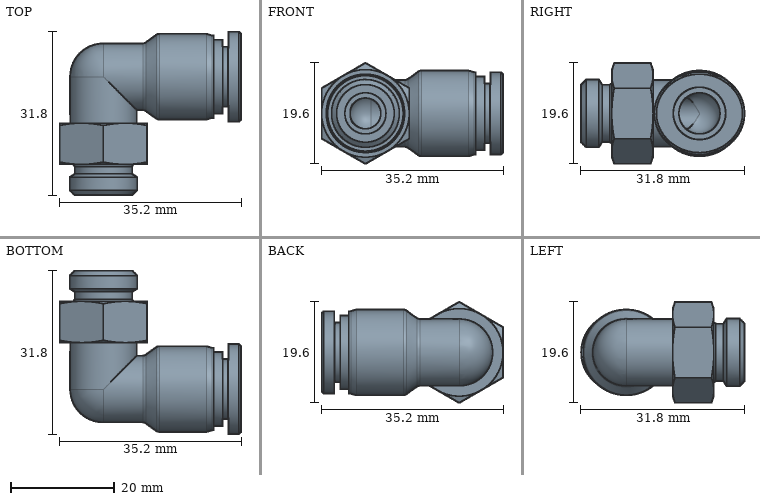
import cadquery as cq
import math


OVERALL_LENGTH = 35.2
OVERALL_WIDTH = 31.75

HEX_FLATS = 17.0
HEX_HEIGHT = 8.0
HEX_TOP = -9.0
HEX_BOTTOM = HEX_TOP - HEX_HEIGHT
HEX_CORNER_DROP = 0.45

RECESS_DIAMETER = 15.25
RECESS_FLOOR_DIAMETER = 14.65
RECESS_DEPTH = 1.0

COLLAR_WIDTH = 17.53
COLLAR_HEIGHT = 16.05
COLLAR_THICKNESS = 2.45
COLLAR_CHAMFER = 0.42
COLLAR_NECK_DIAMETER = 11.2
COLLAR_BORE = 10.15
COLLAR_END = OVERALL_LENGTH - HEX_FLATS / 2
COLLAR_START = COLLAR_END - COLLAR_THICKNESS

THREAD_DIAMETER = 13.15
THREAD_ROOT_DIAMETER = 11.2
THREAD_TIP = COLLAR_WIDTH / 2 - OVERALL_WIDTH
THREAD_CHAMFER = (THREAD_DIAMETER - THREAD_ROOT_DIAMETER) / 2
THREAD_LENGTH = 3.5
THREAD_RUNOUT = 0.65
NECK_FLARE_OFFSET = 0.42
NECK_FLARE_DIAMETER = 12.78
STUD_BORE = 8.0

ELBOW_DIAMETER = 13.0
BODY_DIAMETER = 16.7
RIM_DIAMETER = 16.05
GUIDE_DIAMETER = 14.4
SLEEVE_DIAMETER = 11.7
CONE_START = 7.95
BODY_START = 10.52
BODY_END = 20.0
RIM_START = 21.05
RIM_END = 21.45
GUIDE_END = 23.13
SLEEVE_GAP = 0.1
SLEEVE_END = COLLAR_START - SLEEVE_GAP
CONE_FILLET = 1.0
STUD_SIDE_BORE = 6
TUBE_SIDE_BORE = 8.0
TUBE_SOCKET = 10.2


def turned_about_x(profile):
    """Solid of revolution about X from (x, radius) points."""
    return cq.Workplane("XY").polyline(profile).close().revolve(360, (0, 0, 0), (1, 0, 0))


def turned_about_y(profile):
    """Solid of revolution about Y from (radius, y) points."""
    return cq.Workplane("XY").polyline(profile).close().revolve(360, (0, 0, 0), (0, 1, 0))


def rod_x(diameter, start, end):
    return cq.Workplane("YZ").workplane(offset=start).circle(diameter / 2).extrude(end - start)


def rod_y(diameter, start, end):
    return cq.Workplane("XZ").workplane(offset=-end).circle(diameter / 2).extrude(end - start)


def make_hexagon():
    """Hexagon with corners on the Z axis, bevelled at both ends by a cone."""
    corner_diameter = HEX_FLATS / math.cos(math.pi / 6)
    corner_radius = corner_diameter / 2
    prism = (
        cq.Workplane("XZ").workplane(offset=-HEX_TOP)
        .transformed(rotate=(0, 0, 90)).polygon(6, corner_diameter).extrude(HEX_HEIGHT)
    )
    bevel = turned_about_y([
        (0, HEX_BOTTOM),
        (HEX_FLATS / 2, HEX_BOTTOM),
        (corner_radius, HEX_BOTTOM + HEX_CORNER_DROP),
        (corner_radius, HEX_TOP - HEX_CORNER_DROP),
        (HEX_FLATS / 2, HEX_TOP),
        (0, HEX_TOP),
    ])
    recess = turned_about_y([
        (0, HEX_BOTTOM),
        (RECESS_DIAMETER / 2, HEX_BOTTOM),
        (RECESS_FLOOR_DIAMETER / 2, HEX_BOTTOM + RECESS_DEPTH),
        (0, HEX_BOTTOM + RECESS_DEPTH),
    ])
    return prism.intersect(bevel).cut(recess)


def make_thread_end():
    """Plain thread envelope, its undercut neck and the flare leading into the recess."""
    root = THREAD_ROOT_DIAMETER / 2
    crest = THREAD_DIAMETER / 2
    thread_start = THREAD_TIP + THREAD_LENGTH
    recess_floor = HEX_BOTTOM + RECESS_DEPTH
    flare_end = HEX_BOTTOM - NECK_FLARE_OFFSET
    return turned_about_y([
        (0, THREAD_TIP),
        (root, THREAD_TIP),
        (crest, THREAD_TIP + THREAD_CHAMFER),
        (crest, thread_start),
        (root, thread_start + THREAD_RUNOUT),
        (root, flare_end),
        (NECK_FLARE_DIAMETER / 2, recess_floor),
        (0, recess_floor),
    ])


def make_stud():
    bore = rod_y(STUD_BORE, THREAD_TIP, HEX_TOP)
    return make_hexagon().union(make_thread_end()).cut(bore)


def make_tube_end():
    """Turned outside of the housing along X, with the cone blended at both ends."""
    tube_end = turned_about_x([
        (0, 0),
        (0, ELBOW_DIAMETER / 2),
        (CONE_START, ELBOW_DIAMETER / 2),
        (BODY_START, BODY_DIAMETER / 2),
        (BODY_END, BODY_DIAMETER / 2),
        (RIM_START, RIM_DIAMETER / 2),
        (RIM_END, RIM_DIAMETER / 2),
        (RIM_END, GUIDE_DIAMETER / 2),
        (GUIDE_END, GUIDE_DIAMETER / 2),
        (GUIDE_END, SLEEVE_DIAMETER / 2),
        (SLEEVE_END, SLEEVE_DIAMETER / 2),
        (SLEEVE_END, 0),
    ])
    for cone_edge in (CONE_START, BODY_START):
        tube_end = tube_end.edges(cq.NearestToPointSelector((cone_edge, 0, 0))).fillet(CONE_FILLET)
    return tube_end


def make_tube_side_bore():
    """Ball-nosed bore along X whose tip just reaches the far wall of the stud-side bore."""
    radius = TUBE_SIDE_BORE / 2
    nose_centre = radius - STUD_SIDE_BORE / 2
    nose_tip = nose_centre - radius
    half_nose = radius * math.sqrt(0.5)
    half_section = (
        cq.Workplane("XY").moveTo(nose_tip, 0)
        .threePointArc((nose_centre - half_nose, half_nose), (nose_centre, radius))
        .lineTo(BODY_START, radius).lineTo(BODY_START, 0).close()
    )
    return half_section.revolve(360, (0, 0, 0), (1, 0, 0))


def make_housing():
    stud_leg = rod_y(ELBOW_DIAMETER, HEX_TOP, 0)
    bend = cq.Workplane("XY").sphere(ELBOW_DIAMETER / 2)
    outside = make_tube_end().union(stud_leg).union(bend)

    return (
        outside
        .cut(rod_y(STUD_SIDE_BORE, HEX_TOP, 0))
        .cut(make_tube_side_bore())
        .cut(rod_x(TUBE_SOCKET, BODY_START, SLEEVE_END))
        .cut(rod_x(COLLAR_NECK_DIAMETER, RIM_END, SLEEVE_END))
    )


def make_collar():
    flange = (
        cq.Workplane("YZ").workplane(offset=COLLAR_START)
        .ellipse(COLLAR_WIDTH / 2, COLLAR_HEIGHT / 2).extrude(COLLAR_THICKNESS)
        .faces(">X").edges().chamfer(COLLAR_CHAMFER)
    )
    neck = rod_x(COLLAR_NECK_DIAMETER, RIM_END, COLLAR_START)
    return flange.union(neck).cut(rod_x(COLLAR_BORE, RIM_END, COLLAR_END))


stud = make_stud()
housing = make_housing()
collar = make_collar()

result = cq.Compound.makeCompound([body.solids().val() for body in (stud, housing, collar)])